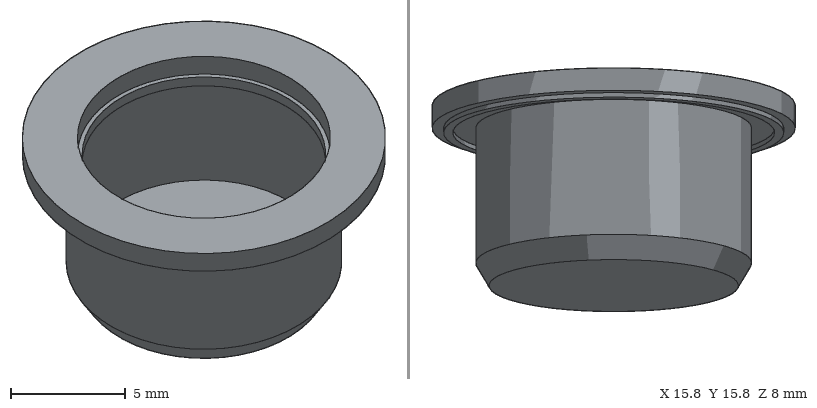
import cadquery as cq
import math

total_height = 8.0
flange_thickness = 1.0
seal_ring_height = 0.2
taper_height = 1.0
taper_angle = 30.0

flange_diameter = 15.8
body_diameter = 12.0

seal_ring_outer_diameter = 14.8
seal_ring_inner_diameter = 14.0

mouth_diameter = 11.0
mouth_depth = 1.0
lip_diameter = 10.6
lip_height = 0.5
cavity_diameter = mouth_diameter
floor_thickness = 1.0

flange_bottom = total_height - flange_thickness
seal_ring_bottom = flange_bottom - seal_ring_height
lip_top = total_height - mouth_depth
lip_bottom = lip_top - lip_height


def disc(diameter, bottom, top):
    """Cylinder on the Z axis between two levels."""
    return cq.Workplane("XY").workplane(offset=bottom).circle(diameter / 2).extrude(top - bottom)


def make_body():
    """Round body with a tapered nose at its closed end."""
    nose_inset = taper_height * math.tan(math.radians(taper_angle))
    body = disc(body_diameter, 0, flange_bottom)
    return body.faces("<Z").chamfer(taper_height, nose_inset)


def make_flange():
    """Flange around the open end."""
    return disc(flange_diameter, flange_bottom, total_height)


def make_seal_ring():
    """Low, narrow ring on the underside of the flange, clear of the body."""
    outer = disc(seal_ring_outer_diameter, seal_ring_bottom, flange_bottom)
    inner = disc(seal_ring_inner_diameter, seal_ring_bottom, flange_bottom)
    return outer.cut(inner)


def make_hollow():
    """Blind bore: open mouth, narrow lip, then the cavity down to the floor."""
    mouth = disc(mouth_diameter, lip_top, total_height)
    lip_bore = disc(lip_diameter, lip_bottom, lip_top)
    cavity = disc(cavity_diameter, floor_thickness, lip_bottom)
    return mouth.union(lip_bore).union(cavity)


result = make_body().union(make_flange()).union(make_seal_ring()).cut(make_hollow())